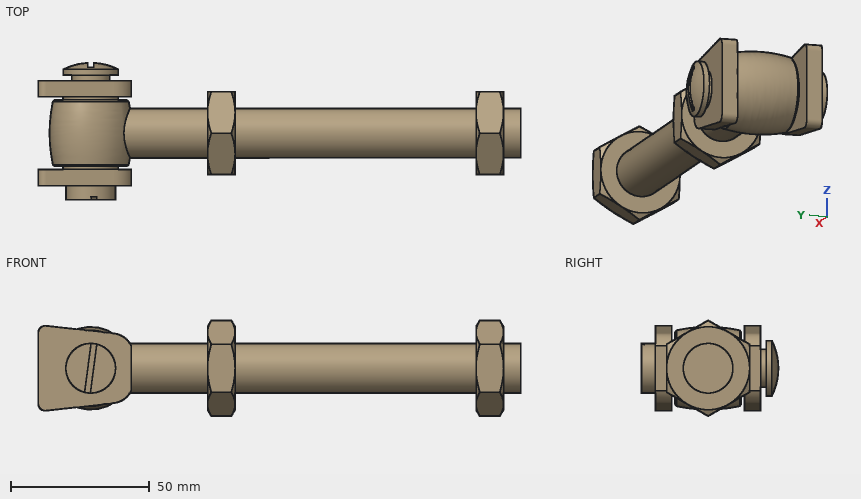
import cadquery as cq
import math


ROD_DIA = 18.0
ROD_END_X = 155.3
EYE_WIDTH = 24.0
EYE_MID_RADIUS = 15.0
EYE_END_RADIUS = 13.6
EYE_CHAMFER = 0.7

BUSHING_DIA = 20.0
BUSHING_STANDOUT = 1.0
BUSHING_LENGTH = EYE_WIDTH / 2 + BUSHING_STANDOUT

PLATE_THICKNESS = 6.0
PLATE_BACK_X = -19.0
PLATE_TIP_X = 15.3
PLATE_FLAT_X = 14.6
PLATE_BACK_HEIGHT = 31.4
PLATE_TAPER_ANGLE = 6.4
PLATE_BACK_FILLET = 2.6
PLATE_FRONT_FILLET = 7.8
PLATE_INNER_Y = BUSHING_LENGTH
PLATE_OUTER_Y = PLATE_INNER_Y + PLATE_THICKNESS

PIN_DIA = ROD_DIA
PIN_NECK_DIA = 13.8
PIN_STANDOUT = 5.0
NECK_STANDOUT = 2.0
SLOT_WIDTH = 2.1
PIN_SLOT_DEPTH = 1.0
PIN_SLOT_TILT = 7.5
PIN_END_Y = -PLATE_OUTER_Y - PIN_STANDOUT
NECK_END_Y = PLATE_OUTER_Y + NECK_STANDOUT

CAP_DIA = BUSHING_DIA
CAP_RIM = 2.1
CAP_DOME = 2.5
CAP_SLOT_DEPTH = 1.5

NUT_FLATS = 30.0
NUT_CORNERS = NUT_FLATS / math.cos(math.radians(30))
NUT_THICKNESS = 10.0
NUT_CHAMFER_ANGLE = 30
NUT_STARTS_X = (42.2, 139.0)


def cylinder_y(diameter, start_y, end_y):
    """Cylinder on the pin axis between two Y positions."""
    axis = cq.Vector(0, 1, 0)
    return cq.Workplane(cq.Solid.makeCylinder(diameter / 2, end_y - start_y, cq.Vector(0, start_y, 0), axis))


def make_rod_with_eye():
    """Barrel-shaped eye with a plain rod growing out of its side."""
    half_width = EYE_WIDTH / 2
    eye = (
        cq.Workplane("XY")
        .moveTo(0, -half_width)
        .lineTo(EYE_END_RADIUS, -half_width)
        .threePointArc((EYE_MID_RADIUS, 0), (EYE_END_RADIUS, half_width))
        .lineTo(0, half_width)
        .close()
        .revolve(360, (0, 0, 0), (0, 1, 0))
        .faces("<Y or >Y")
        .chamfer(EYE_CHAMFER)
    )
    rod = cq.Workplane("YZ").circle(ROD_DIA / 2).extrude(ROD_END_X)
    bore = cylinder_y(BUSHING_DIA, -half_width, half_width)
    return eye.union(rod).cut(bore)


def make_bushing(start_y):
    """Straight bushing around the thick part of the pin."""
    end_y = start_y + BUSHING_LENGTH
    return cylinder_y(BUSHING_DIA, start_y, end_y).cut(cylinder_y(PIN_DIA, start_y, end_y))


def make_plate(start_y, hole_dia):
    """Tapered plate with a hole for the pin; a flat at +X trims the ends of the two large corner arcs."""
    back_z = PLATE_BACK_HEIGHT / 2
    tip_z = back_z - (PLATE_TIP_X - PLATE_BACK_X) * math.tan(math.radians(PLATE_TAPER_ANGLE))
    end_y = start_y + PLATE_THICKNESS
    trim = (
        cq.Workplane("XY")
        .box(PLATE_TIP_X - PLATE_FLAT_X, PLATE_THICKNESS, PLATE_BACK_HEIGHT, centered=(False, False, True))
        .translate((PLATE_FLAT_X, start_y, 0))
    )
    return (
        cq.Workplane("XZ", origin=(0, end_y, 0))
        .moveTo(PLATE_BACK_X, -back_z)
        .lineTo(PLATE_TIP_X, -tip_z)
        .lineTo(PLATE_TIP_X, tip_z)
        .lineTo(PLATE_BACK_X, back_z)
        .close()
        .extrude(PLATE_THICKNESS)
        .edges("|Y and <X")
        .fillet(PLATE_BACK_FILLET)
        .edges("|Y and >X")
        .fillet(PLATE_FRONT_FILLET)
        .cut(trim)
        .cut(cylinder_y(hole_dia, start_y, end_y))
    )


def make_pin():
    """Stepped pin whose shoulder rests on the +Y plate, with a tilted slot in its -Y end."""
    shank = cylinder_y(PIN_DIA, PIN_END_Y, PLATE_INNER_Y)
    neck = cylinder_y(PIN_NECK_DIA, PLATE_INNER_Y, NECK_END_Y)
    slot = (
        cq.Workplane("XY")
        .box(SLOT_WIDTH, 2 * PIN_SLOT_DEPTH, 2 * PIN_DIA)
        .rotate((0, 0, 0), (0, 1, 0), PIN_SLOT_TILT)
        .translate((0, PIN_END_Y, 0))
    )
    return shank.union(neck).cut(slot)


def make_cap():
    """Domed disc on the neck end, slotted across its crown along Z."""
    rim_y = NECK_END_Y + CAP_RIM
    crown_y = rim_y + CAP_DOME
    radius = CAP_DIA / 2
    dome_radius = (radius**2 + CAP_DOME**2) / (2 * CAP_DOME)
    dome_centre_y = crown_y - dome_radius
    half_angle = math.asin(radius / dome_radius) / 2
    arc_middle = (dome_radius * math.sin(half_angle), dome_centre_y + dome_radius * math.cos(half_angle))
    disc = (
        cq.Workplane("XY")
        .moveTo(0, NECK_END_Y)
        .lineTo(radius, NECK_END_Y)
        .lineTo(radius, rim_y)
        .threePointArc(arc_middle, (0, crown_y))
        .close()
        .revolve(360, (0, 0, 0), (0, 1, 0))
    )
    slot = cq.Workplane("XY").box(SLOT_WIDTH, 2 * CAP_SLOT_DEPTH, 2 * CAP_DIA).translate((0, crown_y, 0))
    return disc.cut(slot)


def make_nut(start_x):
    """Hexagon nut with corners up and down, chamfered on both faces."""
    corner_radius = NUT_CORNERS / 2
    face_radius = NUT_FLATS / 2
    chamfer_depth = (corner_radius - face_radius) * math.tan(math.radians(NUT_CHAMFER_ANGLE))
    hexagon = (
        cq.Workplane("YZ")
        .transformed(rotate=(0, 0, 90))
        .polygon(6, NUT_CORNERS)
        .extrude(NUT_THICKNESS)
    )
    chamfered_blank = (
        cq.Workplane("XY")
        .lineTo(0, face_radius)
        .lineTo(chamfer_depth, corner_radius)
        .lineTo(NUT_THICKNESS - chamfer_depth, corner_radius)
        .lineTo(NUT_THICKNESS, face_radius)
        .lineTo(NUT_THICKNESS, 0)
        .close()
        .revolve(360, (0, 0, 0), (1, 0, 0))
    )
    bore = cq.Workplane("YZ").circle(ROD_DIA / 2).extrude(NUT_THICKNESS)
    return hexagon.intersect(chamfered_blank).cut(bore).translate((start_x, 0, 0))


rod_with_eye = make_rod_with_eye()
bushings = [make_bushing(start_y) for start_y in (-BUSHING_LENGTH, 0)]
pin_side_plate = make_plate(-PLATE_OUTER_Y, PIN_DIA)
cap_side_plate = make_plate(PLATE_INNER_Y, PIN_NECK_DIA)
pin = make_pin()
cap = make_cap()
nuts = [make_nut(start_x) for start_x in NUT_STARTS_X]

result = cq.Compound.makeCompound(
    [
        rod_with_eye.val(),
        *[bushing.val() for bushing in bushings],
        pin_side_plate.val(),
        cap_side_plate.val(),
        pin.val(),
        cap.val(),
        *[nut.val() for nut in nuts],
    ]
)